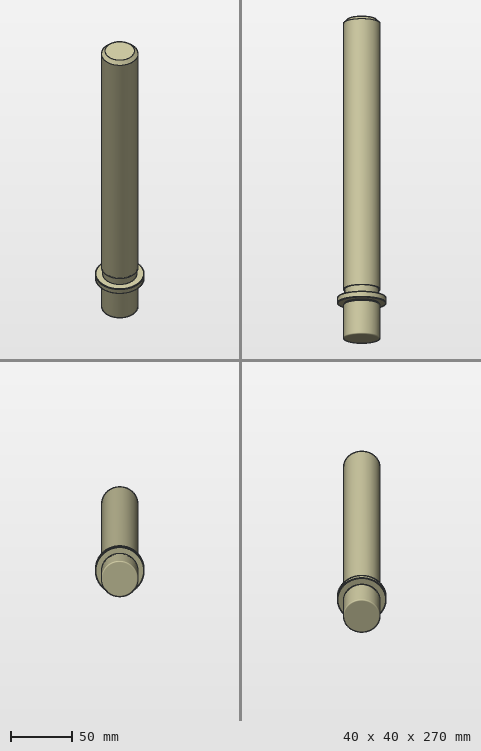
import cadquery as cq

total_length = 270.0
shaft_diameter = 30.0
neck_diameter = 28.0
flange_diameter = 40.0

relief_bottom = 28.5
flange_bottom = 30.0
flange_thickness = 5.0
neck_top = 42.0

top_chamfer = 3.0
flange_chamfer = 0.5
bottom_fillet = 1.0

flange_top = flange_bottom + flange_thickness
relief_depth = (shaft_diameter - neck_diameter) / 2
spigot_top = relief_bottom + relief_depth


def cylinder(diameter, z_start, z_end):
    """Solid cylinder on the Z axis between two heights."""
    return cq.Workplane("XY").workplane(offset=z_start).circle(diameter / 2).extrude(z_end - z_start)


def make_spigot():
    """Short lower end: rounded bottom edge, upper edge sloping at 45 degrees into the relief."""
    spigot = cylinder(shaft_diameter, 0, spigot_top)
    return spigot.faces("<Z").edges().fillet(bottom_fillet).faces(">Z").edges().chamfer(relief_depth)


def make_neck():
    """Reduced core that leaves a relief groove below and above the flange."""
    return cylinder(neck_diameter, relief_bottom, neck_top)


def make_flange():
    """Collar with both rims chamfered."""
    flange = cylinder(flange_diameter, flange_bottom, flange_top)
    return flange.faces("<Z or >Z").edges().chamfer(flange_chamfer)


def make_shaft():
    """Long shaft with a chamfered top end."""
    shaft = cylinder(shaft_diameter, neck_top, total_length)
    return shaft.faces(">Z").edges().chamfer(top_chamfer)


result = make_spigot().union(make_neck()).union(make_flange()).union(make_shaft())